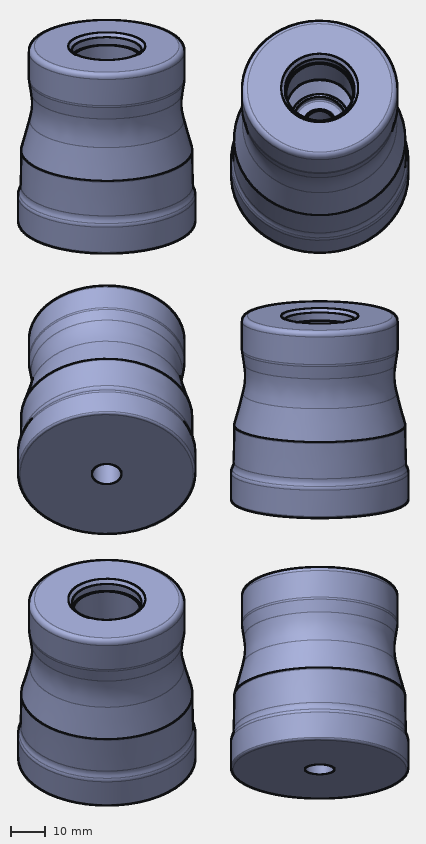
import cadquery as cq
import math

height = 54.0
base_diameter = 50.8
base_radius = base_diameter / 2

base_edge_fillet = 0.65
base_band_top = 8.3
base_shoulder_angle = math.radians(30)
base_shoulder_radius = 2.05

grip_bottom = 11.5
grip_bottom_radius = 24.65
grip_top = 21.75
grip_top_radius = 24.45

waist_radius = 21.4
waist_height = 36.55
waist_arc_radius = 20.0
lower_cone_angle = math.radians(14.9)
upper_cone_angle = math.radians(10)
lower_cone_bottom = 22.2

head_radius = 22.3
head_top_fillet = 1.6
head_band_bottom = 44.3
head_blend_radius = 3.55

mouth_radius = 9.95
mouth_chamfer = 1.1
bore_radius = 9.5
bushing_top = 50.6
bushing_bottom = 40.95
flare_angle = math.radians(25)
flare_bottom = 35.9

funnel_angle = math.radians(30)
seat_radius = 8.4
pocket_radius = 7.55
pocket_depth = 2.0
pocket_fillet = 0.45
screw_hole_radius = 4.2
screw_hole_chamfer = 0.4


def arc_point(center, radius, angle):
    """Point of a circle in the profile plane; the angle is counted from the outward direction."""
    return (center[0] + radius * math.cos(angle), center[1] + radius * math.sin(angle))


def revolve(profile):
    """Turn a closed (radius, z) outline around the Z axis."""
    return profile.close().revolve(360, (0, 0, 0), (0, 1, 0))


def make_housing():
    waist_center = (waist_radius + waist_arc_radius, waist_height)
    waist_bottom = arc_point(waist_center, waist_arc_radius, math.pi + lower_cone_angle)
    waist_middle = (waist_radius, waist_height)
    waist_top = arc_point(waist_center, waist_arc_radius, math.pi - upper_cone_angle)

    lower_cone_radius = waist_bottom[0] + (waist_bottom[1] - lower_cone_bottom) * math.tan(lower_cone_angle)

    blend_center = (head_radius - head_blend_radius, head_band_bottom)
    blend_bottom = arc_point(blend_center, head_blend_radius, -upper_cone_angle)
    blend_middle = arc_point(blend_center, head_blend_radius, -upper_cone_angle / 2)

    shoulder_center = (base_radius - base_shoulder_radius, base_band_top)
    shoulder_middle = arc_point(shoulder_center, base_shoulder_radius, base_shoulder_angle / 2)
    shoulder_top = arc_point(shoulder_center, base_shoulder_radius, base_shoulder_angle)

    flare_radius = bore_radius + (bushing_bottom - flare_bottom) * math.tan(flare_angle)
    seat_height = flare_bottom - (flare_radius - seat_radius) * math.tan(funnel_angle)
    floor_height = seat_height - pocket_depth

    profile = (
        cq.Workplane("XZ")
        .moveTo(screw_hole_radius, 0)
        .lineTo(base_radius - base_edge_fillet, 0)
        .radiusArc((base_radius, base_edge_fillet), -base_edge_fillet)
        .lineTo(base_radius, base_band_top)
        .threePointArc(shoulder_middle, shoulder_top)
        .tangentArcPoint((grip_bottom_radius, grip_bottom), relative=False)
        .lineTo(grip_top_radius, grip_top)
        .lineTo(lower_cone_radius, lower_cone_bottom)
        .lineTo(*waist_bottom)
        .threePointArc(waist_middle, waist_top)
        .lineTo(*blend_bottom)
        .threePointArc(blend_middle, (head_radius, head_band_bottom))
        .lineTo(head_radius, height - head_top_fillet)
        .radiusArc((head_radius - head_top_fillet, height), -head_top_fillet)
        .lineTo(mouth_radius + mouth_chamfer, height)
        .lineTo(mouth_radius, height - mouth_chamfer)
        .lineTo(mouth_radius, bushing_bottom)
        .lineTo(bore_radius, bushing_bottom)
        .lineTo(flare_radius, flare_bottom)
        .lineTo(seat_radius, seat_height)
        .lineTo(pocket_radius, seat_height)
        .lineTo(pocket_radius, floor_height + pocket_fillet)
        .radiusArc((pocket_radius - pocket_fillet, floor_height), pocket_fillet)
        .lineTo(screw_hole_radius + screw_hole_chamfer, floor_height)
        .lineTo(screw_hole_radius, floor_height - screw_hole_chamfer)
    )
    return revolve(profile)


def make_bushing():
    profile = (
        cq.Workplane("XZ")
        .moveTo(bore_radius, bushing_bottom)
        .lineTo(mouth_radius, bushing_bottom)
        .lineTo(mouth_radius, bushing_top)
        .lineTo(bore_radius, bushing_top)
    )
    return revolve(profile)


housing = make_housing()
bushing = make_bushing()

result = cq.Compound.makeCompound([housing.val(), bushing.val()])